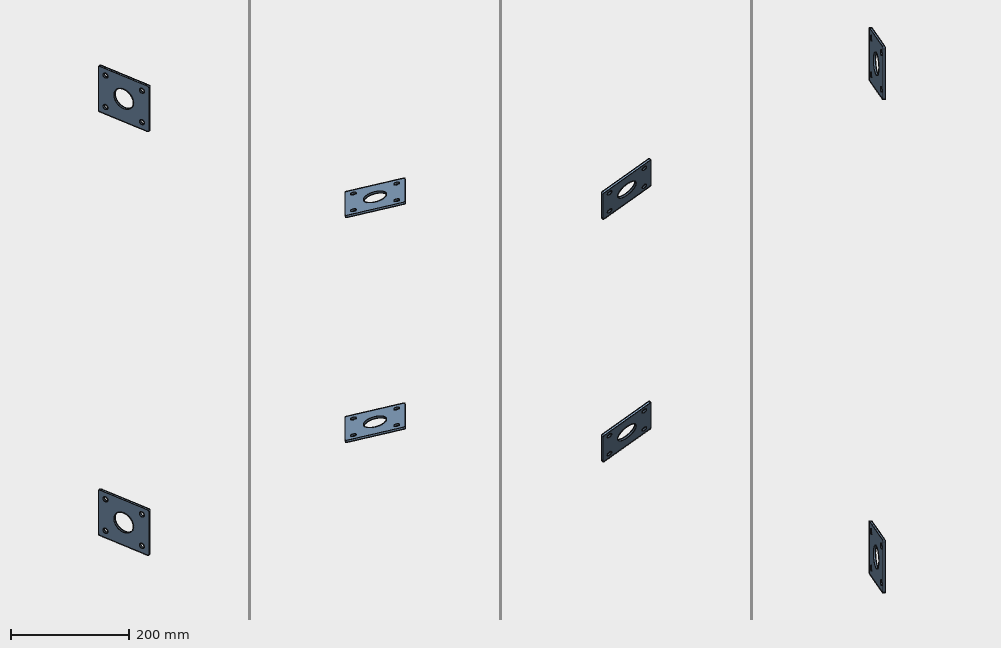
import cadquery as cq

overall_height = 979.0

plate_width = 105.0
plate_height = 95.0
plate_thickness = 4.0
corner_radius = 3.0

bore_diameter = 40.0
bolt_diameter = 10.0
bolt_inset = 15.0
bolt_spacing_x = plate_width - 2 * bolt_inset
bolt_spacing_z = plate_height - 2 * bolt_inset

plate_offset_z = (overall_height - plate_height) / 2


def make_plate(center_z):
    """Rounded plate in the XZ plane with a central bore and four bolt holes."""
    blank = (
        cq.Workplane("XZ")
        .rect(plate_width, plate_height)
        .extrude(plate_thickness / 2, both=True)
        .edges("|Y")
        .fillet(corner_radius)
    )
    bore = (
        cq.Workplane("XZ")
        .circle(bore_diameter / 2)
        .extrude(plate_thickness, both=True)
    )
    bolt_holes = (
        cq.Workplane("XZ")
        .rect(bolt_spacing_x, bolt_spacing_z, forConstruction=True)
        .vertices()
        .circle(bolt_diameter / 2)
        .extrude(plate_thickness, both=True)
    )
    return blank.cut(bore).cut(bolt_holes).translate((0, 0, center_z))


plates = [make_plate(center_z) for center_z in (-plate_offset_z, plate_offset_z)]

result = cq.Compound.makeCompound([plate.val() for plate in plates])